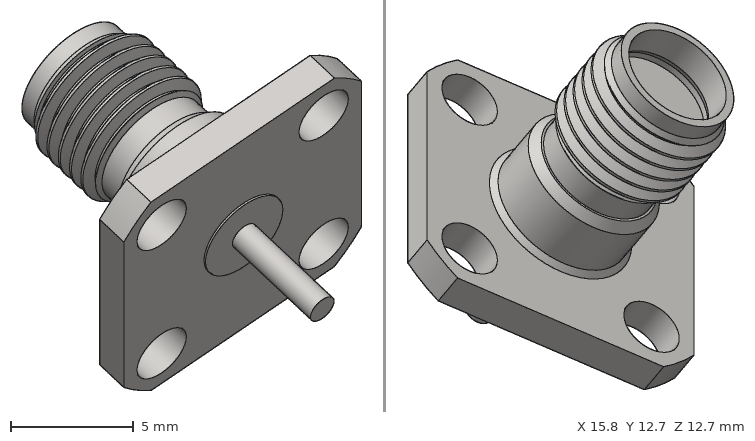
import cadquery as cq

total_length = 15.76
flange_front = 9.22
flange_thickness = 1.53
flange_back = flange_front + flange_thickness

flange_width = 12.7
flange_corner_radius = 8.02
hole_spacing = 8.65
hole_diameter = 2.63

barrel_radius = 2.68
relief_radius = 2.65
relief_end = 6.18
thread_start = 0.77
thread_end = 5.01
end_ridge_radius = 2.87
front_ridge_ramp = 0.25
back_ridge_ramp = 0.15
ridge_inner_ramp = 0.1
root_radius = 2.73
crest_radius = 3.17
crest_width = 0.13
crest_base_width = 0.61
crest_count = 5
crest_pitch = 0.71
first_crest = 1.51

body_radius = 3.12
body_front_radius = 2.76
body_chamfer_length = 0.43
flare_radius = 3.39
flare_length = 0.24

insulator_radius = 2.06
insulator_height = 0.1
pin_radius = 0.63

bore_radius = 2.32
bore_depth = 1.94
undercut_radius = 2.43
undercut_start = 1.4
undercut_full = 1.64


def cylinder_x(radius, start, end):
    """Solid cylinder on the X axis between two positions."""
    return cq.Workplane("YZ", origin=(start, 0, 0)).circle(radius).extrude(end - start)


def revolve_about_x(points):
    """Revolve a closed outline of (x, radius) points about the X axis."""
    return cq.Workplane("XY").polyline(points).close().revolve(360, (0, 0, 0), (1, 0, 0))


def thread_crest(center):
    """Outline points of one flat-topped thread ring."""
    half_top = crest_width / 2
    half_base = crest_base_width / 2
    return [
        (center - half_base, root_radius),
        (center - half_top, crest_radius),
        (center + half_top, crest_radius),
        (center + half_base, root_radius),
    ]


def make_shell():
    """Barrel with ring-shaped threads, followed by the plain body."""
    front_ridge = thread_start + front_ridge_ramp
    back_ridge = thread_end - back_ridge_ramp
    outline = [
        (0, 0),
        (0, barrel_radius),
        (thread_start, barrel_radius),
        (front_ridge, end_ridge_radius),
        (front_ridge + ridge_inner_ramp, root_radius),
    ]
    for index in range(crest_count):
        outline += thread_crest(first_crest + index * crest_pitch)
    outline += [
        (back_ridge - ridge_inner_ramp, root_radius),
        (back_ridge, end_ridge_radius),
        (thread_end, relief_radius),
        (relief_end, relief_radius),
        (relief_end, body_front_radius),
        (relief_end + body_chamfer_length, body_radius),
        (flange_front - flare_length, body_radius),
        (flange_front, flare_radius),
        (flange_front, 0),
    ]
    return revolve_about_x(outline)


def make_flange():
    """Square plate with round-turned corners and four mounting holes."""
    square = cq.Workplane("YZ", origin=(flange_front, 0, 0)).rect(flange_width, flange_width)
    plate = square.extrude(flange_thickness)
    plate = plate.intersect(cylinder_x(flange_corner_radius, flange_front, flange_back))
    holes = (
        cq.Workplane("YZ", origin=(flange_front, 0, 0))
        .rect(hole_spacing, hole_spacing, forConstruction=True)
        .vertices()
        .circle(hole_diameter / 2)
        .extrude(flange_thickness)
    )
    return plate.cut(holes)


def make_bore():
    """Cutter for the blind bore, widening through a cone into the undercut."""
    return revolve_about_x([
        (0, 0),
        (0, bore_radius),
        (undercut_start, bore_radius),
        (undercut_full, undercut_radius),
        (bore_depth, undercut_radius),
        (bore_depth, 0),
    ])


insulator = cylinder_x(insulator_radius, flange_back, flange_back + insulator_height)
pin = cylinder_x(pin_radius, flange_back, total_length)

result = make_shell().union(make_flange()).union(insulator).union(pin).cut(make_bore())